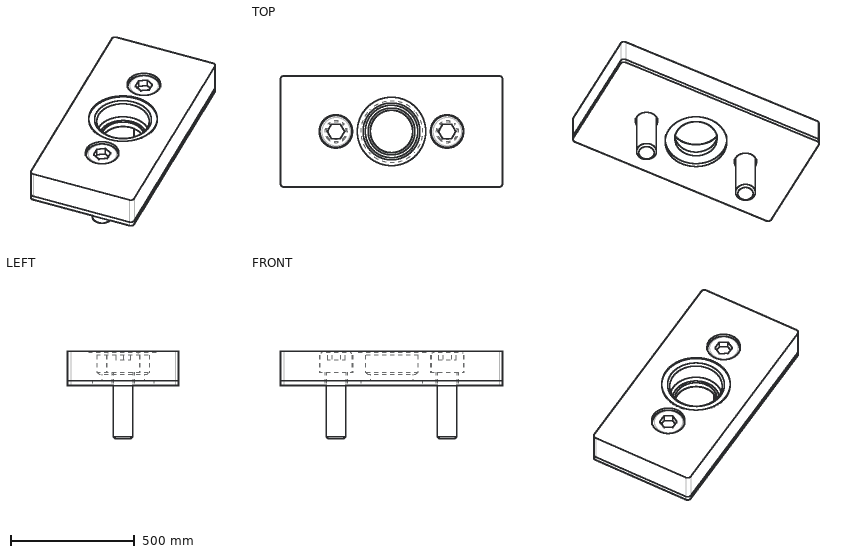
import cadquery as cq
import math

length = 900.0
width = 450.0
corner_radius = 14.0
base_thickness = 20.0
block_height = 120.0
overall_height = 355.0
top_z = base_thickness + block_height

recess_diameter = 277.0
recess_depth = 5.0
bore_diameter = 212.0
bore_mouth_chamfer = 9.0
bore_depth = 94.5
bore_floor_diameter = 190.0
bore_floor_bevel_height = 10.0
through_diameter = 171.0
base_opening_diameter = 250.0

bolt_offset = 225.0
shank_diameter = 80.0
head_diameter = 130.0
head_height = shank_diameter
head_sink = 5.0
head_fillet = 7.0
tip_chamfer = 9.0
hex_across_flats = 60.0
hex_depth = 30.0
counterbore_diameter = 135.0
clearance_diameter = 90.0
counterbore_depth = head_sink + head_height
bolt_xs = (-bolt_offset, bolt_offset)
bolt_points = [(x, 0) for x in bolt_xs]


def rounded_slab(bottom_z, height):
    """Rectangular slab with rounded vertical edges."""
    slab = cq.Workplane("XY").workplane(offset=bottom_z).rect(length, width).extrude(height)
    return slab.edges("|Z").fillet(corner_radius)


def bolt_cylinders(diameter, bottom_z, height):
    """Pair of upright cylinders on the bolt axes."""
    plane = cq.Workplane("XY").workplane(offset=bottom_z)
    return plane.pushPoints(bolt_points).circle(diameter / 2).extrude(height)


def centre_opening():
    """Revolved cutter for the stepped, bevelled opening through the block."""
    recess_z = top_z - recess_depth
    floor_z = top_z - bore_depth
    bore_radius = bore_diameter / 2
    profile = (
        cq.Workplane("XZ")
        .moveTo(0, base_thickness)
        .lineTo(through_diameter / 2, base_thickness)
        .lineTo(through_diameter / 2, floor_z)
        .lineTo(bore_floor_diameter / 2, floor_z)
        .lineTo(bore_radius, floor_z + bore_floor_bevel_height)
        .lineTo(bore_radius, recess_z - bore_mouth_chamfer)
        .lineTo(bore_radius + bore_mouth_chamfer, recess_z)
        .lineTo(recess_diameter / 2, recess_z)
        .lineTo(recess_diameter / 2, top_z)
        .lineTo(0, top_z)
        .close()
    )
    return profile.revolve(360, (0, 0, 0), (0, 1, 0))


def make_block():
    """Thick upper block with the centre opening and counterbored bolt holes."""
    block = rounded_slab(base_thickness, block_height).cut(centre_opening())
    block = block.cut(bolt_cylinders(clearance_diameter, base_thickness, block_height))
    seat_z = top_z - counterbore_depth
    return block.cut(bolt_cylinders(counterbore_diameter, seat_z, counterbore_depth))


def make_base_plate():
    """Thin lower plate with a wide centre opening and bolt clearance holes."""
    plate = rounded_slab(0, base_thickness)
    opening = cq.Workplane("XY").circle(base_opening_diameter / 2).extrude(base_thickness)
    return plate.cut(opening).cut(bolt_cylinders(clearance_diameter, 0, base_thickness))


def make_bolt(x):
    """Socket head bolt whose head sits on the counterbore floor."""
    head_top_z = top_z - head_sink
    seat_z = head_top_z - head_height
    tip_z = top_z - overall_height
    head = cq.Workplane("XY").workplane(offset=seat_z).circle(head_diameter / 2).extrude(head_height)
    head = head.faces(">Z").edges().fillet(head_fillet)
    shank = cq.Workplane("XY").workplane(offset=tip_z).circle(shank_diameter / 2).extrude(seat_z - tip_z)
    shank = shank.faces("<Z").edges().chamfer(tip_chamfer)
    hex_across_corners = hex_across_flats / math.cos(math.pi / 6)
    socket = (
        cq.Workplane("XY")
        .workplane(offset=head_top_z - hex_depth)
        .polygon(6, hex_across_corners)
        .extrude(hex_depth)
    )
    return head.union(shank).cut(socket).translate((x, 0, 0))


block = make_block()
base_plate = make_base_plate()
bolts = [make_bolt(x) for x in bolt_xs]

result = cq.Compound.makeCompound([block.val(), base_plate.val(), *[bolt.val() for bolt in bolts]])